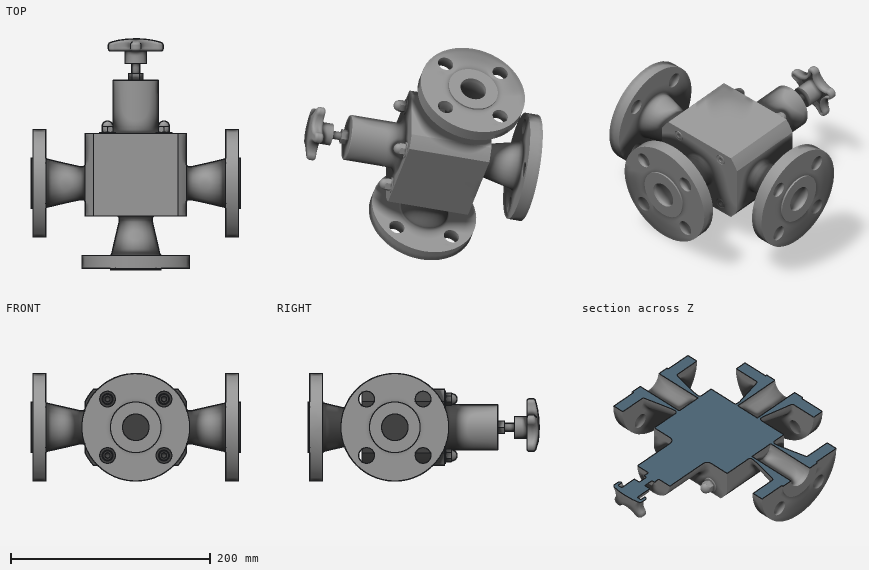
import cadquery as cq
import math

BLOCK_WIDTH = 101.5
BLOCK_HEIGHT = 76.5
BLOCK_BACK = 49.9
BLOCK_FRONT = -33.0
BLOCK_CORNER_DIA = 114.0

OVERALL_WIDTH = 209.9
FLANGE_DIA = 108.0
FLANGE_THICKNESS = 13.0
FACE_DIA = 50.8
BORE_DIA = 26.7
NECK_DIA = 33.5
NECK_LARGE_DIA = 48.2
NECK_LENGTH = 39.5
NECK_CYLINDER_LENGTH = 3.0
BLOCK_END_FILLET = 2.3
FLANGE_END_FILLET = 1.9
FLANGE_HOLE_DIA = 15.8
BOLT_SPACING = 56.5
SIDE_FACE_HEIGHT = OVERALL_WIDTH / 2 - BLOCK_WIDTH / 2 - NECK_LENGTH - FLANGE_THICKNESS
FRONT_FACE_HEIGHT = 1.6

WASHER_DIA = 15.8
WASHER_THICKNESS = 1.2
NUT_FLATS = 11.0
NUT_HEIGHT = 6.0
NUT_BEVEL = 0.7
DOME_DIA = 11.0
BOLT_RECESS_DIA = 11.0
BOLT_RECESS_DEPTH = 2.3
BOLT_HEAD_DIA = 9.5
SOCKET_FLATS = 5.0
SOCKET_DEPTH = 1.2
SOCKET_POINT_DEPTH = 1.5

BONNET_DIA = 45.7
BONNET_END = 103.7
BONNET_CHAMFER = 0.7
BONNET_ROOT_FILLET = 6.0
STEM_NUT_FLATS = 12.8
STEM_NUT_END = 110.1
STEM_DIA = 8.1
HUB_DIA = 22.0
HUB_START = 120.0
WHEEL_START = 132.5
WHEEL_END = 145.0
LOBE_COUNT = 5
LOBE_CENTRE_RADIUS = 23.7
LOBE_RADIUS = 5.0
VALLEY_RADIUS = 16.7
CROWN_RADIUS = 92.8
WHEEL_LOWER_FILLET = 2.5
WHEEL_UPPER_FILLET = 2.8
WHEEL_RIM = 2.8
WHEEL_POCKET_DEPTH = 5.8

ARC_MIDDLE = 1 - math.sqrt(0.5)


def plane_y(y, x=0, z=0):
    """Work plane square to Y whose normal points to +Y and local Y to +Z."""
    return cq.Workplane(cq.Plane(origin=(x, y, z), xDir=(-1, 0, 0), normal=(0, 1, 0)))


def disc(dia, start, end, x=0, z=0):
    """Cylinder along Y."""
    return plane_y(start, x, z).circle(dia / 2).extrude(end - start)


def hexagon_corner_dia(flats):
    return flats / math.cos(math.pi / 6)


def hexagon(flats, start, end, x=0, z=0, turn=0):
    """Hexagonal prism along Y, corners on X unless turned."""
    prism = plane_y(start).polygon(6, hexagon_corner_dia(flats)).extrude(end - start)
    return prism.rotate((0, 0, 0), (0, 1, 0), turn).translate((x, 0, z))


def bolt_places():
    half = BOLT_SPACING / 2
    return [(x, z) for x in (-half, half) for z in (-half, half)]


def make_block():
    depth = BLOCK_BACK - BLOCK_FRONT
    box = plane_y(BLOCK_FRONT).rect(BLOCK_WIDTH, BLOCK_HEIGHT).extrude(depth)
    return box.intersect(disc(BLOCK_CORNER_DIA, BLOCK_FRONT, BLOCK_BACK))


def make_neck(face_height):
    """Neck and flange pointing to +Z, starting from Z = 0."""
    radius = NECK_DIA / 2
    cone_start = BLOCK_END_FILLET + NECK_CYLINDER_LENGTH
    cone_end = NECK_LENGTH - FLANGE_END_FILLET
    large_radius = NECK_LARGE_DIA / 2
    flange_end = NECK_LENGTH + FLANGE_THICKNESS
    block_bulge = BLOCK_END_FILLET * ARC_MIDDLE
    flange_bulge = FLANGE_END_FILLET * ARC_MIDDLE
    neck = (
        cq.Workplane("XZ")
        .moveTo(0, 0)
        .lineTo(radius + BLOCK_END_FILLET, 0)
        .threePointArc((radius + block_bulge, block_bulge), (radius, BLOCK_END_FILLET))
        .lineTo(radius, cone_start)
        .lineTo(large_radius, cone_end)
        .threePointArc(
            (large_radius + flange_bulge, NECK_LENGTH - flange_bulge),
            (large_radius + FLANGE_END_FILLET, NECK_LENGTH),
        )
        .lineTo(FLANGE_DIA / 2, NECK_LENGTH)
        .lineTo(FLANGE_DIA / 2, flange_end)
        .lineTo(FACE_DIA / 2, flange_end)
        .lineTo(FACE_DIA / 2, flange_end + face_height)
        .lineTo(0, flange_end + face_height)
        .close()
        .revolve(360, (0, 0, 0), (0, 1, 0))
    )
    bore = cq.Workplane("XY").circle(BORE_DIA / 2).extrude(flange_end + face_height)
    holes = (
        cq.Workplane("XY", origin=(0, 0, NECK_LENGTH))
        .rect(BOLT_SPACING, BOLT_SPACING, forConstruction=True)
        .vertices()
        .circle(FLANGE_HOLE_DIA / 2)
        .extrude(FLANGE_THICKNESS)
    )
    return neck.cut(bore).cut(holes)


def make_cap_nut(x, z):
    """Washer and domed nut on the back of the block."""
    nut_start = BLOCK_BACK + WASHER_THICKNESS
    nut_end = nut_start + NUT_HEIGHT
    washer = disc(WASHER_DIA, BLOCK_BACK, nut_start, x, z)
    nut = hexagon(NUT_FLATS, nut_start, nut_end, x, z, turn=30)
    bevelled = disc(hexagon_corner_dia(NUT_FLATS), nut_start, nut_end, x, z)
    nut = nut.intersect(bevelled.faces("|Y").edges().chamfer(NUT_BEVEL))
    dome = cq.Workplane("XY").sphere(DOME_DIA / 2).translate((x, nut_end, z))
    return washer.union(nut).union(dome)


def make_bolt_recess(x, z):
    """Space around a socket bolt head that lies flush in the front of the block."""
    floor = BLOCK_FRONT + BOLT_RECESS_DEPTH
    head = disc(BOLT_HEAD_DIA, BLOCK_FRONT, floor, x, z)
    socket_floor = BLOCK_FRONT + SOCKET_DEPTH
    socket = hexagon(SOCKET_FLATS, BLOCK_FRONT, socket_floor, x, z, turn=30)
    point = cq.Solid.makeCone(
        SOCKET_FLATS / 2, 0, SOCKET_POINT_DEPTH, pnt=cq.Vector(x, socket_floor, z), dir=cq.Vector(0, 1, 0)
    )
    recess = disc(BOLT_RECESS_DIA, BLOCK_FRONT, floor, x, z)
    return recess.cut(head).union(socket).union(cq.Workplane(point))


def make_bonnet():
    """Spring bonnet flared into the block, with the stem and its lock nut."""
    bonnet = disc(BONNET_DIA, BLOCK_BACK, BONNET_END).faces(">Y").chamfer(BONNET_CHAMFER)
    radius = BONNET_DIA / 2
    bulge = BONNET_ROOT_FILLET * ARC_MIDDLE
    root = (
        cq.Workplane("XY")
        .moveTo(0, BLOCK_BACK)
        .lineTo(radius + BONNET_ROOT_FILLET, BLOCK_BACK)
        .threePointArc(
            (radius + bulge, BLOCK_BACK + bulge), (radius, BLOCK_BACK + BONNET_ROOT_FILLET)
        )
        .lineTo(0, BLOCK_BACK + BONNET_ROOT_FILLET)
        .close()
        .revolve(360, (0, 0, 0), (0, 1, 0))
    )
    stem_nut = hexagon(STEM_NUT_FLATS, BONNET_END, STEM_NUT_END)
    stem = disc(STEM_DIA, STEM_NUT_END, HUB_START)
    return bonnet.union(root).union(stem_nut).union(stem)


def polar(radius, angle):
    return (radius * math.cos(angle), radius * math.sin(angle))


def make_star(start, height, lobe_radius, valley_radius):
    """Star of round lobes joined by tangent hollows; one lobe points to +Z."""
    half_step = math.pi / LOBE_COUNT
    across = LOBE_CENTRE_RADIUS * math.sin(half_step)
    along = LOBE_CENTRE_RADIUS * math.cos(half_step)
    gap = along - valley_radius
    hollow_radius = (across**2 + gap**2 - lobe_radius**2) / (2 * (lobe_radius + gap))
    hollow_centre = valley_radius + hollow_radius
    share = lobe_radius / (lobe_radius + hollow_radius)
    touch_along = along + share * (hollow_centre - along)
    touch_across = across * (1 - share)
    touch_radius = math.hypot(touch_along, touch_across)
    touch_angle = half_step - math.atan2(touch_across, touch_along)

    star = plane_y(start).moveTo(*polar(touch_radius, math.pi / 2 - touch_angle))
    for lobe in range(LOBE_COUNT):
        angle = math.pi / 2 + 2 * half_step * lobe
        tip = polar(LOBE_CENTRE_RADIUS + lobe_radius, angle)
        star = star.threePointArc(tip, polar(touch_radius, angle + touch_angle))
        valley = polar(valley_radius, angle + half_step)
        next_touch = polar(touch_radius, angle + 2 * half_step - touch_angle)
        star = star.threePointArc(valley, next_touch)
    return star.close().extrude(height)


def make_crown():
    """Blank that limits the wheel to a shallow dome."""
    edge_radius = LOBE_CENTRE_RADIUS + 2 * LOBE_RADIUS
    middle_radius = edge_radius / 2

    def dome_height(radius):
        return WHEEL_END - CROWN_RADIUS + math.sqrt(CROWN_RADIUS**2 - radius**2)

    return (
        cq.Workplane("XY")
        .moveTo(0, HUB_START)
        .lineTo(edge_radius, HUB_START)
        .lineTo(edge_radius, dome_height(edge_radius))
        .threePointArc((middle_radius, dome_height(middle_radius)), (0, WHEEL_END))
        .close()
        .revolve(360, (0, 0, 0), (0, 1, 0))
    )


def make_handwheel():
    star = make_star(WHEEL_START, WHEEL_END - WHEEL_START, LOBE_RADIUS, VALLEY_RADIUS)
    wheel = star.intersect(make_crown())
    wheel = wheel.faces("<Y").edges().fillet(WHEEL_LOWER_FILLET)
    wheel = wheel.faces(">Y").edges().fillet(WHEEL_UPPER_FILLET)
    pocket = make_star(WHEEL_START, WHEEL_POCKET_DEPTH, LOBE_RADIUS - WHEEL_RIM, VALLEY_RADIUS - WHEEL_RIM)
    hub = disc(HUB_DIA, HUB_START, WHEEL_START + WHEEL_POCKET_DEPTH)
    return wheel.cut(pocket).union(hub)


result = make_block()

side_neck = make_neck(SIDE_FACE_HEIGHT)
for side in (-1, 1):
    turned = side_neck.rotate((0, 0, 0), (0, 1, 0), side * 90)
    result = result.union(turned.translate((side * BLOCK_WIDTH / 2, 0, 0)))

front_neck = make_neck(FRONT_FACE_HEIGHT).rotate((0, 0, 0), (1, 0, 0), 90)
result = result.union(front_neck.translate((0, BLOCK_FRONT, 0)))

result = result.union(make_bonnet()).union(make_handwheel())

for bolt_x, bolt_z in bolt_places():
    result = result.union(make_cap_nut(bolt_x, bolt_z)).cut(make_bolt_recess(bolt_x, bolt_z))